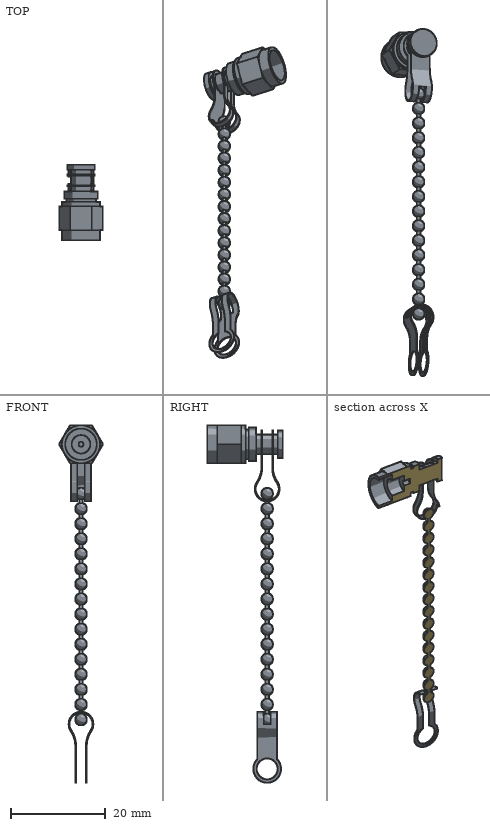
import cadquery as cq
import math


OVERALL_HEIGHT = 75.4

CAP_BACK_Y = 3.3
FLANGE_END = 1.1
NECK_END = 5.65
COLLAR_END = 7.2
GROOVE_END = 7.85
SHOULDER_END = 8.8
HEX_END = 13.8
CAP_LENGTH = 16.0
HEX_ACROSS_CORNERS = 9.3
HEX_APOTHEM = HEX_ACROSS_CORNERS / 2 * math.cos(math.pi / 6)
FLANGE_RADIUS = 2.95
NECK_RADIUS = 2.1
COLLAR_RADIUS = 3.55
GROOVE_RADIUS = 3.2
BORE_RADIUS = 3.3
BORE_DEPTH = 3.4
SOCKET_RADIUS = 1.95
SOCKET_DEPTH = 3.0
PIN_HOLE_RADIUS = 0.5
PIN_HOLE_DEPTH = 1.5

STRAP_THICKNESS = 0.2
STRAP_WIDTH = 4.2
LEG_OFFSET = 1.1
EYE_RADIUS = 2.95
EYE_HOLE_RADIUS = 2.2
LEG_LENGTH = 4.9
LOOP_DISTANCE = 9.4
LOOP_OUTER_RADIUS = 2.65
SLOT_WIDTH = 1.5
LOWER_CLIP_Z = HEX_APOTHEM - OVERALL_HEIGHT + EYE_RADIUS

BEAD_COUNT = 16
BEAD_RADIUS = 2.5 / 2
LINK_RADIUS = 0.8 / 2
BEAD_SEAT_OFFSET = 1.0
FIRST_BEAD_Z = -LOOP_DISTANCE - BEAD_SEAT_OFFSET
LAST_BEAD_Z = LOWER_CLIP_Z + LOOP_DISTANCE + BEAD_SEAT_OFFSET
BEAD_PITCH = (FIRST_BEAD_Z - LAST_BEAD_Z) / (BEAD_COUNT - 1)


def cap_plane(distance):
    """Plane across the cap, the given distance from its back face, facing forward (-Y)."""
    return cq.Workplane("XZ", origin=(0, CAP_BACK_Y - distance, 0))


def cap_disc(start, end, radius):
    return cap_plane(start).circle(radius).extrude(end - start)


def make_cap():
    body = cap_disc(0, FLANGE_END, FLANGE_RADIUS)
    body = body.union(cap_disc(FLANGE_END, NECK_END, NECK_RADIUS))
    body = body.union(cap_disc(NECK_END, COLLAR_END, COLLAR_RADIUS))
    body = body.union(cap_disc(COLLAR_END, GROOVE_END, GROOVE_RADIUS))
    body = body.union(cap_disc(GROOVE_END, CAP_LENGTH, HEX_APOTHEM))
    nut = cap_plane(SHOULDER_END).polygon(6, HEX_ACROSS_CORNERS).extrude(HEX_END - SHOULDER_END)
    body = body.union(nut)

    bore_floor = CAP_LENGTH - BORE_DEPTH
    socket_floor = bore_floor - SOCKET_DEPTH
    body = body.cut(cap_disc(bore_floor, CAP_LENGTH, BORE_RADIUS))
    body = body.cut(cap_disc(socket_floor, bore_floor, SOCKET_RADIUS))
    return body.cut(cap_disc(socket_floor - PIN_HOLE_DEPTH, socket_floor, PIN_HOLE_RADIUS))


def bent_strap():
    """Flares and loop of the strap, hanging below an eye centre at the origin.

    Each leg flares outward in one arc that runs tangent into the loop's arc.
    """
    loop_radius = LOOP_OUTER_RADIUS - STRAP_THICKNESS / 2
    drop = LOOP_DISTANCE - LEG_LENGTH
    flare_angle = 2 * math.atan((loop_radius - LEG_OFFSET) / drop)
    flare_radius = drop / math.sin(flare_angle) - loop_radius

    def loop_point(offset, angle):
        radius = loop_radius + offset
        return radius * math.cos(angle), -LOOP_DISTANCE + radius * math.sin(angle)

    def flare_point(offset, angle):
        radius = flare_radius - offset
        y = LEG_OFFSET + flare_radius - radius * math.cos(angle)
        return y, -LEG_LENGTH - radius * math.sin(angle)

    def mirrored(point):
        return -point[0], point[1]

    def strap_face(offset):
        """Area inside the strap face at this offset outward from mid-thickness."""
        flare_start = flare_point(offset, 0)
        flare_middle = flare_point(offset, flare_angle / 2)
        flare_end = flare_point(offset, flare_angle)
        shoulder = loop_point(offset, flare_angle / 2)
        loop_side = loop_point(offset, 0)
        loop_bottom = loop_point(offset, -math.pi / 2)
        return (
            cq.Workplane("YZ", origin=(-STRAP_WIDTH / 2, 0, 0))
            .moveTo(*flare_start)
            .threePointArc(flare_middle, flare_end)
            .threePointArc(shoulder, loop_side)
            .threePointArc(loop_bottom, mirrored(loop_side))
            .threePointArc(mirrored(shoulder), mirrored(flare_end))
            .threePointArc(mirrored(flare_middle), mirrored(flare_start))
            .close()
            .extrude(STRAP_WIDTH, clean=False)
        )

    outer = strap_face(STRAP_THICKNESS / 2)
    inner = strap_face(-STRAP_THICKNESS / 2)
    return outer.cut(inner, clean=False)


def make_leg(leg_y):
    """Flat leg with its eye, centred on the given Y."""
    plane = cq.Workplane("XZ", origin=(0, leg_y + STRAP_THICKNESS / 2, 0))
    eye = plane.circle(EYE_RADIUS).extrude(STRAP_THICKNESS)
    strip = plane.center(0, -LEG_LENGTH / 2).rect(STRAP_WIDTH, LEG_LENGTH).extrude(STRAP_THICKNESS)
    hole = plane.circle(EYE_HOLE_RADIUS).extrude(STRAP_THICKNESS)
    return eye.union(strip).cut(hole)


def slot_box(y_min, y_max, z_min, z_max):
    size = (SLOT_WIDTH, y_max - y_min, z_max - z_min)
    centre = (0, (y_min + y_max) / 2, (z_min + z_max) / 2)
    return cq.Workplane("XY").box(*size).translate(centre)


def make_clip():
    """Clip with its eye centre at the origin, loop below, and the slotted leg at -Y."""
    clip = bent_strap()
    for leg_y in (-LEG_OFFSET, LEG_OFFSET):
        clip = clip.union(make_leg(leg_y), clean=False)

    reach = LOOP_OUTER_RADIUS
    loop_bottom = -LOOP_DISTANCE - LOOP_OUTER_RADIUS
    clip = clip.cut(slot_box(-reach, reach, loop_bottom, -LOOP_DISTANCE), clean=False)
    return clip.cut(slot_box(-reach, 0, -LOOP_DISTANCE, 0), clean=False)


def make_chain():
    link_length = FIRST_BEAD_Z - LAST_BEAD_Z
    chain = cq.Workplane("XY", origin=(0, 0, LAST_BEAD_Z)).circle(LINK_RADIUS).extrude(link_length)
    for index in range(BEAD_COUNT):
        bead = cq.Workplane("XY").sphere(BEAD_RADIUS)
        chain = chain.union(bead.translate((0, 0, FIRST_BEAD_Z - index * BEAD_PITCH)))
    return chain


def place_clips():
    """Upper clip around the cap's neck; lower clip inverted and turned a quarter turn."""
    clips = []
    for flip, turn, eye_z in ((0, 0, 0), (180, 90, LOWER_CLIP_Z)):
        clip = make_clip().rotate((0, 0, 0), (1, 0, 0), flip)
        clip = clip.rotate((0, 0, 0), (0, 0, 1), turn)
        clips.append(clip.translate((0, 0, eye_z)).val())
    return clips


cap = make_cap()
chain = make_chain()
clips = place_clips()

result = cq.Compound.makeCompound([cap.val(), chain.val(), *clips])